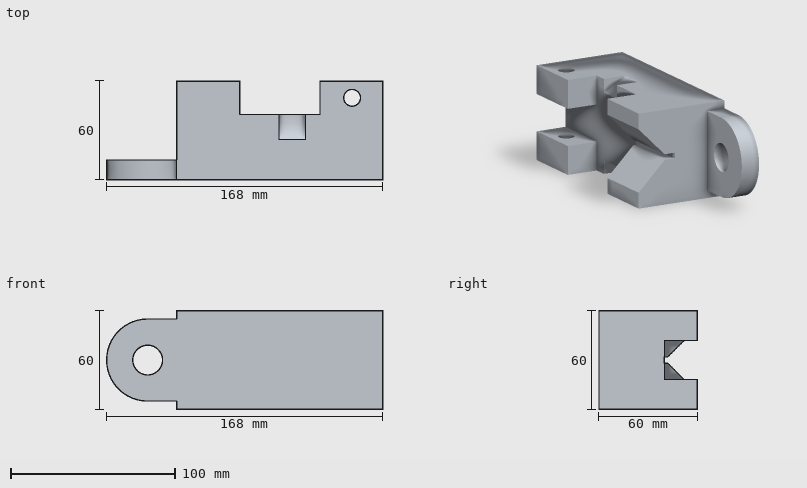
import cadquery as cq

total_length = 168.0
block_side = 60.0
tab_length = 42.7
block_length = total_length - tab_length
mid_z = block_side / 2

tab_radius = 25.0
tab_thickness = 12.1
tab_hole_diameter = 18.0

notch_start = 81.1
notch_end = 129.7
notch_depth = 20.2
notch_floor_y = block_side - notch_depth

vee_half_height = 20.0
saw_slot_width = 3.7
saw_slot_depth = 25.4

jaw_slot_width = 23.5
pin_hole_diameter = 10.0
pin_hole_x = 149.4
pin_hole_edge_distance = 10.0

relief_start = 104.8
relief_end = 121.0
relief_length_y = 15.3
relief_drop = 8.5


def box(x_start, x_end, y_start, y_end, z_start, z_end):
    """Axis-aligned box between the given limits."""
    size = (x_end - x_start, y_end - y_start, z_end - z_start)
    return cq.Workplane("XY").box(*size, centered=False).translate((x_start, y_start, z_start))


def extrude_yz(points, x_start, x_end):
    """Extrude a closed (Y, Z) outline between two X positions."""
    profile = cq.Workplane("YZ", origin=(x_start, 0, 0)).polyline(points).close()
    return profile.extrude(x_end - x_start)


def mounting_tab():
    tab = (
        cq.Workplane("XZ")
        .moveTo(tab_length, mid_z - tab_radius)
        .lineTo(tab_radius, mid_z - tab_radius)
        .threePointArc((0, mid_z), (tab_radius, mid_z + tab_radius))
        .lineTo(tab_length, mid_z + tab_radius)
        .close()
        .extrude(-tab_thickness)
    )
    hole = cq.Workplane("XZ").center(tab_radius, mid_z).circle(tab_hole_diameter / 2).extrude(-tab_thickness)
    return tab.cut(hole)


def left_jaw_cut():
    vee = extrude_yz(
        [
            (block_side, mid_z - vee_half_height),
            (block_side, mid_z + vee_half_height),
            (block_side - vee_half_height, mid_z),
        ],
        tab_length,
        notch_start,
    )
    saw_slot = box(
        tab_length, notch_start,
        block_side - saw_slot_depth, block_side,
        mid_z - saw_slot_width / 2, mid_z + saw_slot_width / 2,
    )
    return vee.union(saw_slot)


def right_jaw_cut():
    slot = box(
        notch_end, total_length,
        notch_floor_y, block_side,
        mid_z - jaw_slot_width / 2, mid_z + jaw_slot_width / 2,
    )
    pin_hole = (
        cq.Workplane("XY")
        .center(pin_hole_x, block_side - pin_hole_edge_distance)
        .circle(pin_hole_diameter / 2)
        .extrude(block_side)
    )
    return slot.union(pin_hole)


def relief(face_z, floor_z):
    """Wedge from the given horizontal face, deepest at the notch floor."""
    outline = [
        (notch_floor_y - relief_length_y, face_z),
        (notch_floor_y, face_z),
        (notch_floor_y, floor_z),
    ]
    return extrude_yz(outline, relief_start, relief_end)


block = cq.Workplane("XY").box(block_length, block_side, block_side, centered=False)
block = block.translate((tab_length, 0, 0))
notch = box(notch_start, notch_end, notch_floor_y, block_side, 0, block_side)

result = (
    block.union(mounting_tab())
    .cut(notch)
    .cut(left_jaw_cut())
    .cut(right_jaw_cut())
    .cut(relief(block_side, block_side - relief_drop))
    .cut(relief(0, relief_drop))
)